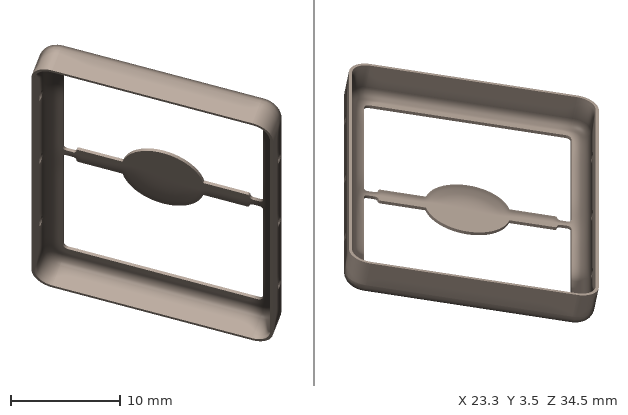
import cadquery as cq

width = 23.3
depth = 3.5
height = 34.5
wall = 0.3
corner_radius = 2.0
edge_radius = 1.1

rim = 2.0
window_corner_radius = 0.52
window_width = width - 2 * rim
window_height = height - 2 * rim

disc_radius = 4.0
arm_height = 1.9
neck_height = 0.75
neck_length = 1.3
neck_fillet = 0.35
arm_fillet = 0.2

hole_diameter = 1.0
hole_spacing = 10.0
hole_setback = 1.6


def rounded_block(size_x, size_z, back_y, corner, edge):
    """Block from the open front to back_y, with rounded corners and back edge."""
    block = cq.Workplane("XZ").rect(size_x, size_z).extrude(-back_y)
    return block.edges("|Y").fillet(corner).faces(">Y").edges().fillet(edge)


def floor_plate(size_x, size_z):
    """Plate centred in X and Z that fills the floor thickness."""
    return cq.Workplane("XZ", origin=(0, depth - wall, 0)).rect(size_x, size_z).extrude(-wall)


def make_tray():
    outer = rounded_block(width, height, depth, corner_radius, edge_radius)
    cavity = rounded_block(
        width - 2 * wall,
        height - 2 * wall,
        depth - wall,
        corner_radius - wall,
        edge_radius - wall,
    )
    return outer.cut(cavity)


def make_windows():
    """Two openings left in the floor around the arms and necks."""
    arm_end = window_width / 2 - neck_length
    neck = floor_plate(window_width, neck_height)
    arm = floor_plate(2 * arm_end, arm_height)
    disc = cq.Workplane("XZ", origin=(0, depth - wall, 0)).circle(disc_radius).extrude(-wall)
    windows = floor_plate(window_width, window_height).cut(neck).cut(arm).cut(disc)

    def round_edges(body, x, z, radius):
        for side_x in (-1, 1):
            for side_z in (-1, 1):
                corner = (side_x * x, depth - wall / 2, side_z * z)
                body = body.edges(cq.selectors.NearestToPointSelector(corner)).fillet(radius)
        return body

    windows = round_edges(windows, window_width / 2, window_height / 2, window_corner_radius)
    windows = round_edges(windows, window_width / 2, neck_height / 2, neck_fillet)
    windows = round_edges(windows, arm_end, neck_height / 2, neck_fillet)
    return round_edges(windows, arm_end, arm_height / 2, arm_fillet)


def make_side_holes():
    return (
        cq.Workplane("YZ", origin=(0, depth - hole_setback, 0))
        .rarray(0.35, hole_spacing, 1, 3)
        .circle(hole_diameter / 2)
        .extrude(width, both=True)
    )


result = make_tray().cut(make_windows()).cut(make_side_holes())